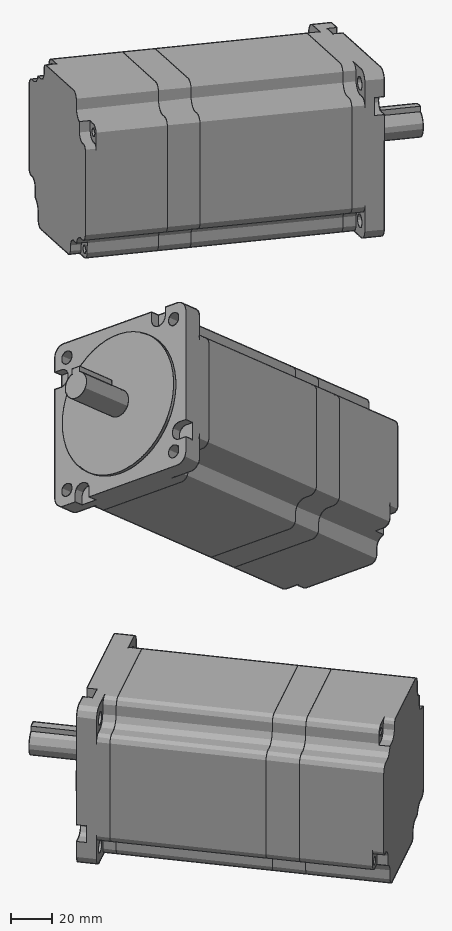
import cadquery as cq
import math


RING_Y = 42.1
STATOR_Y = 58.8
CAP_Y = 136.7
EARS_Y = 143.4
FLANGE_Y = 153.5
PILOT_Y = 155.0
SHAFT_TIP_Y = 185.5

WIDTH = 86.0
HALF = WIDTH / 2
EDGE_RADIUS = 4.3
WALL = 29.3
NOTCH_RADIUS = 6.3

FLANGE_CORNER_RADIUS = 5.8
MOUNT_HOLE_OFFSET = 35.0
MOUNT_HOLE_DIAMETER = 6.7
PILOT_DIAMETER = 73.0

SCREW_X = -(WALL - EDGE_RADIUS)
SCREW_Z = HALF - EDGE_RADIUS
SCREW_HOLE_DIAMETER = 4.0
SCREW_POCKET_RADIUS = 5.0
SCREW_POCKET_DEPTH = 5.5
SCREW_POCKET_FLARE = 2.8
FRONT_SLOT_WIDTH = 9.0
FRONT_SLOT_DEPTH = 5.0

SHAFT_DIAMETER = 14.0
KEY_WIDTH = 5.0
KEY_LENGTH = 24.9
KEY_TOP = 9.3

QUARTER_TURNS = [0, 90, 180, 270]


def plane_at(y):
    """Sketch plane across the axis, with X to the right and Z up."""
    return cq.Workplane("XZ", origin=(0, y, 0))


def turned(point, angle):
    """Point of the XZ plane turned about the axis."""
    c = math.cos(math.radians(angle))
    s = math.sin(math.radians(angle))
    return (point[0] * c - point[1] * s, point[0] * s + point[1] * c)


def at_each_corner(tool):
    """The tool copied to all four corners by quarter turns about the axis."""
    copies = cq.Workplane("XZ")
    for angle in QUARTER_TURNS:
        copies = copies.add(tool.rotate((0, 0, 0), (0, 1, 0), angle))
    return copies.combine()


def notched_prism(y_start, y_end):
    """Length of the motor body: a square with a rounded notch in each corner."""
    edge_start = WALL - EDGE_RADIUS
    edge_end = HALF - EDGE_RADIUS
    notch_end = WALL + NOTCH_RADIUS
    outline = plane_at(y_start).moveTo(HALF, -edge_start)
    for angle in QUARTER_TURNS:
        outline = outline.lineTo(*turned((HALF, edge_start), angle))
        outline = outline.radiusArc(turned((edge_end, WALL), angle), -EDGE_RADIUS)
        outline = outline.lineTo(*turned((notch_end, WALL), angle))
        outline = outline.radiusArc(turned((WALL, notch_end), angle), NOTCH_RADIUS)
        outline = outline.lineTo(*turned((WALL, edge_end), angle))
        outline = outline.radiusArc(turned((edge_start, HALF), angle), -EDGE_RADIUS)
    return outline.close().extrude(y_start - y_end)


def screw_pocket():
    """Open seat for one cover screw, its inner wall rounded around the screw and flared at the side."""
    side = SCREW_X + SCREW_POCKET_RADIUS
    floor = SCREW_Z - SCREW_POCKET_RADIUS
    inside_notch = -(WALL + NOTCH_RADIUS / 2)
    return (
        plane_at(0)
        .moveTo(inside_notch, floor)
        .lineTo(SCREW_X, floor)
        .radiusArc((side, SCREW_Z), -SCREW_POCKET_RADIUS)
        .lineTo(side, HALF - SCREW_POCKET_FLARE)
        .radiusArc((side + SCREW_POCKET_FLARE, HALF), SCREW_POCKET_FLARE)
        .lineTo(inside_notch, HALF)
        .close()
        .extrude(-SCREW_POCKET_DEPTH)
    )


def make_rear_cover():
    pockets = at_each_corner(screw_pocket())
    hole = plane_at(0).center(SCREW_X, SCREW_Z).circle(SCREW_HOLE_DIAMETER / 2).extrude(-RING_Y)
    return notched_prism(0, RING_Y).cut(pockets).cut(at_each_corner(hole))


def front_slot():
    """Round-bottomed slot in the mounting face, open to the side of the flange."""
    left = SCREW_X - FRONT_SLOT_WIDTH / 2
    right = SCREW_X + FRONT_SLOT_WIDTH / 2
    return (
        plane_at(FLANGE_Y)
        .moveTo(left, HALF)
        .lineTo(left, SCREW_Z)
        .threePointArc((SCREW_X, SCREW_Z - FRONT_SLOT_WIDTH / 2), (right, SCREW_Z))
        .lineTo(right, HALF)
        .close()
        .extrude(FRONT_SLOT_DEPTH)
    )


def make_front_cap():
    neck = notched_prism(CAP_Y, EARS_Y)
    flange = (
        plane_at(EARS_Y)
        .rect(WIDTH, WIDTH)
        .extrude(EARS_Y - FLANGE_Y)
        .edges("|Y")
        .fillet(FLANGE_CORNER_RADIUS)
    )
    pilot = plane_at(FLANGE_Y).circle(PILOT_DIAMETER / 2).extrude(FLANGE_Y - PILOT_Y)
    mount_holes = (
        plane_at(EARS_Y)
        .rect(2 * MOUNT_HOLE_OFFSET, 2 * MOUNT_HOLE_OFFSET, forConstruction=True)
        .vertices()
        .circle(MOUNT_HOLE_DIAMETER / 2)
        .extrude(EARS_Y - PILOT_Y)
    )
    slots = at_each_corner(front_slot())
    return neck.union(flange).cut(slots).union(pilot).cut(mount_holes)


def make_shaft():
    """Output shaft with its key, which is rounded at the inner end and flush with the tip."""
    shaft = plane_at(PILOT_Y).circle(SHAFT_DIAMETER / 2).extrude(PILOT_Y - SHAFT_TIP_Y)
    key_round_y = SHAFT_TIP_Y - KEY_LENGTH + KEY_WIDTH / 2
    key = (
        cq.Workplane("XY")
        .moveTo(-KEY_WIDTH / 2, SHAFT_TIP_Y)
        .lineTo(-KEY_WIDTH / 2, key_round_y)
        .threePointArc((0, SHAFT_TIP_Y - KEY_LENGTH), (KEY_WIDTH / 2, key_round_y))
        .lineTo(KEY_WIDTH / 2, SHAFT_TIP_Y)
        .close()
        .extrude(KEY_TOP)
    )
    return shaft.union(key)


rear_cover = make_rear_cover()
spacer_ring = notched_prism(RING_Y, STATOR_Y)
stator = notched_prism(STATOR_Y, CAP_Y)
front_cap = make_front_cap()
shaft = make_shaft()

result = cq.Compound.makeCompound(
    [rear_cover.val(), spacer_ring.val(), stator.val(), front_cap.val(), shaft.val()]
)